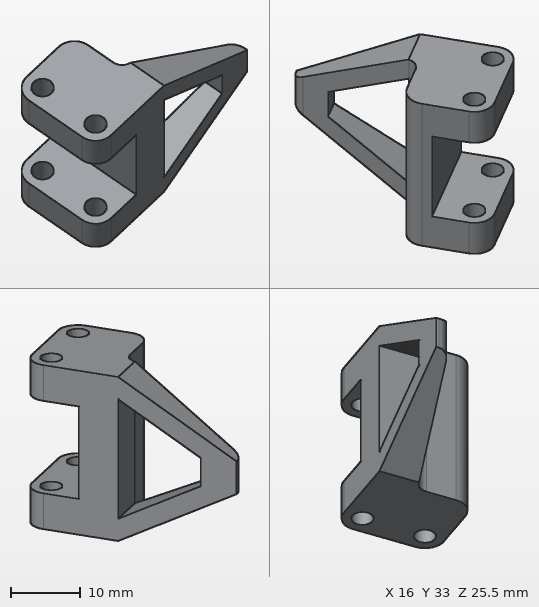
import cadquery as cq

width = 16.0
length = 33
height = 25.5

body_length = 13.05
corner_radius = 3.0
hole_diameter = 3.2
arm_thickness = 5.58
slot_depth = 8.48

flank_root_x = 9.3
flank_tip_x = 14.02
flank_radius = 2.0
taper_start = 14.62
tip_height = 5.1

window_end = 27.42
window_root_height = 18.58
window_end_height = 4.4


def make_plan_prism():
    """Full-height prism of the plan outline with its vertical edges rounded."""
    prism = (
        cq.Workplane("XY", origin=(0, 0, -height / 2))
        .polyline([
            (0, 0),
            (width, 0),
            (width, length),
            (flank_tip_x, length),
            (flank_root_x, body_length),
            (0, body_length),
        ])
        .close()
        .extrude(height)
    )

    def round_edges(solid, points, radius):
        edges = solid.edges(cq.NearestToPointSelector((*points[0], 0)))
        for point in points[1:]:
            edges = edges.add(solid.edges(cq.NearestToPointSelector((*point, 0))))
        return edges.fillet(radius)

    prism = round_edges(prism, [(0, 0), (width, 0), (0, body_length)], corner_radius)
    return round_edges(prism, [(flank_root_x, body_length), (flank_tip_x, length)], flank_radius)


def side_prism(points):
    """Extrude a (Y, Z) outline across the whole width."""
    return cq.Workplane("YZ").polyline(points).close().extrude(width)


def trapezoid(start, end, start_height, end_height):
    """(Y, Z) outline symmetric about Z = 0."""
    return [
        (start, -start_height / 2),
        (end, -end_height / 2),
        (end, end_height / 2),
        (start, start_height / 2),
    ]


body_side = side_prism(trapezoid(0, taper_start, height, height))
tail_side = side_prism(trapezoid(taper_start, length, height, tip_height))
result = make_plan_prism().intersect(body_side.union(tail_side))

slot_height = height - 2 * arm_thickness
result = result.cut(side_prism(trapezoid(taper_start, window_end, window_root_height, window_end_height)))
result = result.cut(side_prism(trapezoid(0, slot_depth, slot_height, slot_height)))

holes = (
    cq.Workplane("XY", origin=(0, 0, -height / 2))
    .pushPoints([(corner_radius, corner_radius), (width - corner_radius, corner_radius)])
    .circle(hole_diameter / 2)
    .extrude(height)
)
result = result.cut(holes)